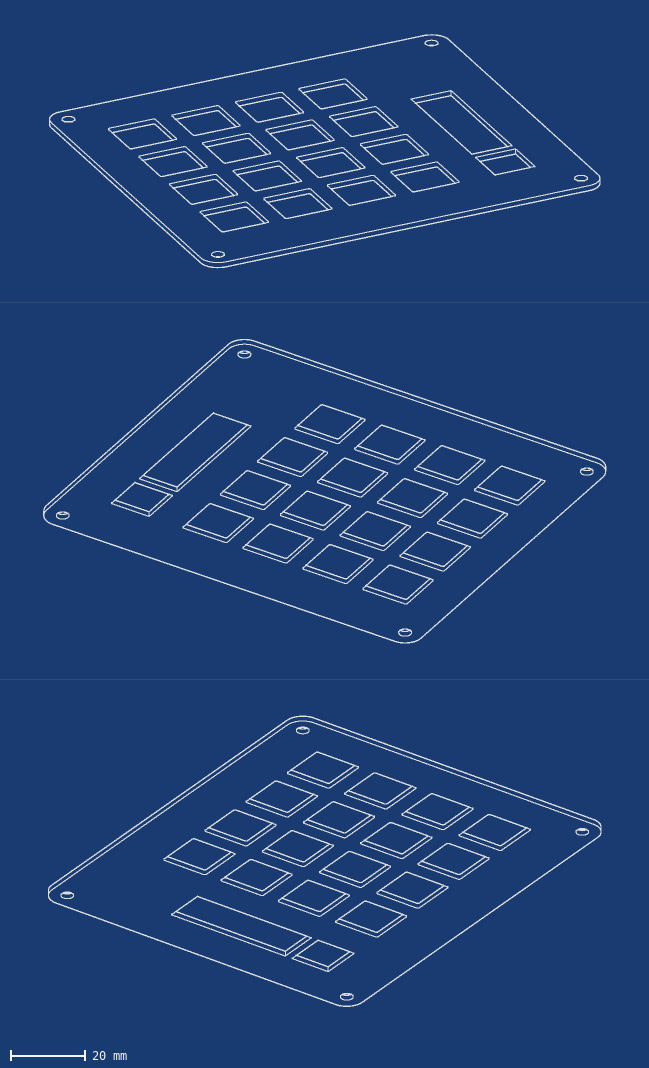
import cadquery as cq

plate_width = 103.2
plate_length = 119.1
plate_thickness = 1.5
corner_radius = 5.1

mount_hole_diameter = 3.5
mount_spacing_x = plate_width - 2 * corner_radius
mount_spacing_y = plate_length - 2 * corner_radius

key_columns = 4
key_rows = 4
key_pitch = 19.0
key_size = 14.0
key_corner_radius = 0.54
key_grid_center_x = -1.1
key_grid_center_y = -11.8

window_center_y = 40.4
window_height = 12.0
display_width = 37.9
knob_width = window_height

key_grid_span = (key_columns - 1) * key_pitch + key_size
windows_right_x = key_grid_center_x + key_grid_span / 2
windows_left_x = windows_right_x - key_grid_span + key_pitch


def make_plate():
    """Thin plate with rounded corners, centred on the origin."""
    plate = cq.Workplane("XY").box(plate_width, plate_length, plate_thickness)
    return plate.edges("|Z").fillet(corner_radius)


def make_opening_cutter(width, height):
    """Rectangular block as thick as the plate, centred on the origin."""
    return cq.Workplane("XY").box(width, height, plate_thickness)


def cut_mount_holes(plate):
    """Drill one through hole near each plate corner."""
    return (
        plate.faces(">Z")
        .workplane(origin=(0, 0, 0))
        .rect(mount_spacing_x, mount_spacing_y, forConstruction=True)
        .vertices()
        .hole(mount_hole_diameter)
    )


def cut_key_openings(plate):
    """Cut the grid of square openings with slightly rounded corners."""
    key_cutter = make_opening_cutter(key_size, key_size).edges("|Z").fillet(key_corner_radius)
    key_grid = (
        cq.Workplane("XY")
        .center(key_grid_center_x, key_grid_center_y)
        .rarray(key_pitch, key_pitch, key_columns, key_rows)
        .eachpoint(key_cutter.val(), combine=False)
    )
    return plate.cut(key_grid)


def cut_windows(plate):
    """Cut the wide display window and the square knob window."""
    display_center_x = windows_left_x + display_width / 2
    knob_center_x = windows_right_x - knob_width / 2
    display_cutter = make_opening_cutter(display_width, window_height)
    knob_cutter = make_opening_cutter(knob_width, window_height)
    plate = plate.cut(display_cutter.translate((display_center_x, window_center_y, 0)))
    return plate.cut(knob_cutter.translate((knob_center_x, window_center_y, 0)))


result = make_plate()
result = cut_mount_holes(result)
result = cut_key_openings(result)
result = cut_windows(result)